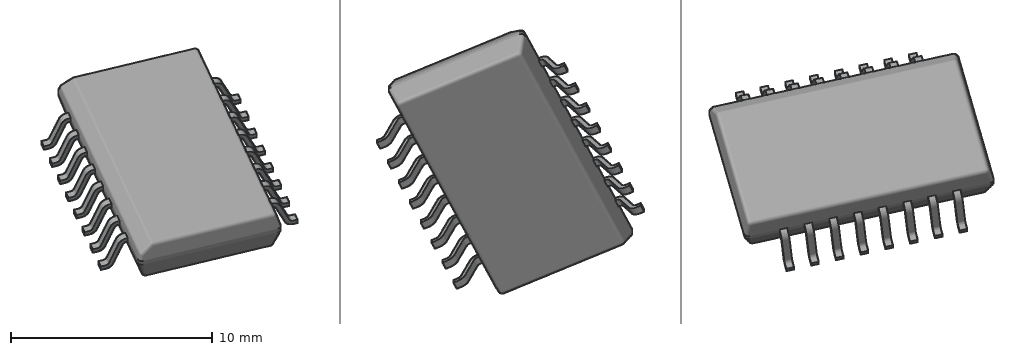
import cadquery as cq
import math

body_length = 12.8
body_width = 7.5
body_bottom = 0.3
body_top = 2.65
draft_angle = 15.0
edge_radius = 0.2

bevel_inset = 0.75
bevel_angle = 37.0

lead_count = 8
lead_row_length = 8.88
lead_pitch = lead_row_length / (lead_count - 1)
lead_width = 0.4
lead_thickness = 0.25
lead_span = 10.32
lead_top = 1.8
lead_slope = 67.0
bend_radius = 0.2
shoulder_length = 0.08
lead_embed = 0.38
lead_start_y = body_width / 2 - lead_embed

band_top = lead_top
band_bottom = lead_top - lead_thickness


def draft_block(start, height):
    """Rectangular block growing from the band, up or down, and narrowing with the draft."""
    return (
        cq.Workplane("XY", origin=(0, 0, start))
        .rect(body_length, body_width)
        .extrude(height, taper=draft_angle)
    )


def bevel_cutter():
    """Prism that removes the top edge of the -Y side."""
    band_face = -body_width / 2
    drop = bevel_inset * math.tan(math.radians(bevel_angle))
    return (
        cq.Workplane("YZ", origin=(-body_length / 2, 0, 0))
        .moveTo(band_face + bevel_inset, body_top)
        .lineTo(band_face, body_top)
        .lineTo(band_face, body_top - drop)
        .close()
        .extrude(body_length)
    )


def make_body():
    """Body of three stacked layers, rounded on every edge but the band's outlines."""
    band = (
        cq.Workplane("XY", origin=(0, 0, band_bottom))
        .rect(body_length, body_width)
        .extrude(lead_thickness)
        .edges("|Z")
        .fillet(edge_radius)
    )
    upper = draft_block(band_top, body_top - band_top).cut(bevel_cutter())
    upper = upper.edges("not(<Z)").fillet(edge_radius)
    lower = draft_block(band_bottom, body_bottom - band_bottom)
    lower = lower.edges("not(>Z)").fillet(edge_radius)
    return band.union(upper).union(lower)


def lead_path():
    """Centre line of a +Y lead: shoulder, bend, slope, bend, foot."""
    slope = math.radians(lead_slope)
    radius = bend_radius + lead_thickness / 2
    bend_y = body_width / 2 + shoulder_length
    high_z = lead_top - lead_thickness / 2
    low_z = lead_thickness / 2
    bend_run = radius * math.sin(slope)
    bend_drop = radius * (1 - math.cos(slope))
    half_run = radius * math.sin(slope / 2)
    half_drop = radius * (1 - math.cos(slope / 2))
    slope_run = (high_z - low_z - 2 * bend_drop) / math.tan(slope)
    slope_end_y = bend_y + bend_run + slope_run
    foot_y = slope_end_y + bend_run
    return (
        cq.Workplane("YZ")
        .moveTo(lead_start_y, high_z)
        .lineTo(bend_y, high_z)
        .threePointArc((bend_y + half_run, high_z - half_drop), (bend_y + bend_run, high_z - bend_drop))
        .lineTo(slope_end_y, low_z + bend_drop)
        .threePointArc((foot_y - half_run, low_z + half_drop), (foot_y, low_z))
        .lineTo(lead_span / 2, low_z)
    )


def make_lead():
    """One +Y lead centred on X = 0."""
    section_plane = cq.Workplane("XZ", origin=(0, lead_start_y, lead_top - lead_thickness / 2))
    return section_plane.rect(lead_width, lead_thickness).sweep(lead_path())


result = make_body()
back_lead = make_lead()
front_lead = back_lead.mirror("XZ")
for index in range(lead_count):
    lead_x = index * lead_pitch - lead_row_length / 2
    result = result.union(back_lead.translate((lead_x, 0, 0)))
    result = result.union(front_lead.translate((lead_x, 0, 0)))